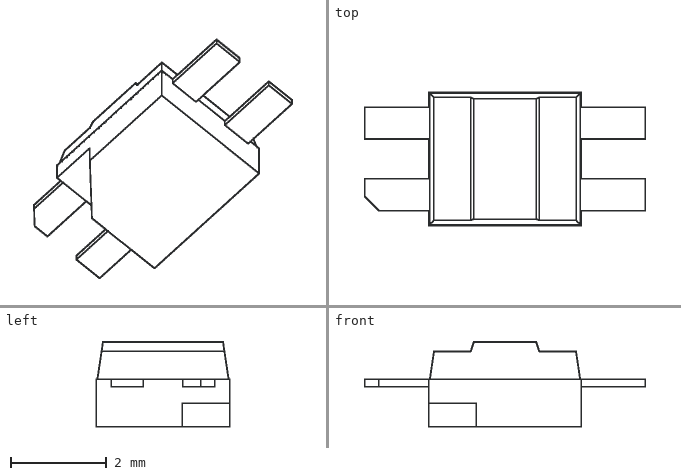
import cadquery as cq

BODY_LENGTH = 3.2
BODY_WIDTH = 2.8
BODY_HEIGHT = 1.0

NOTCH_LEG = 1.0
NOTCH_HEIGHT = 0.5

TOTAL_HEIGHT = 1.78
SHOULDER_HEIGHT = 1.58
CAP_INSET = 0.025
DRAFT_ANGLE = 8.5
RIDGE_TOP_LENGTH = 1.31
RIDGE_BASE_LENGTH = 1.44

LEAD_SPAN = 5.88
LEAD_WIDTH = 0.67
LEAD_THICKNESS = 0.16
LEAD_PITCH = 1.5
LEAD_CHAMFER = 0.3


def lower_body():
    """Block with a triangular notch under its -X, -Y corner."""
    block = cq.Workplane("XY").box(BODY_LENGTH, BODY_WIDTH, BODY_HEIGHT, centered=(True, True, False))
    corner_x = -BODY_LENGTH / 2
    corner_y = -BODY_WIDTH / 2
    notch = (
        cq.Workplane("XY")
        .moveTo(corner_x, corner_y)
        .lineTo(corner_x + NOTCH_LEG, corner_y)
        .lineTo(corner_x, corner_y + NOTCH_LEG)
        .close()
        .extrude(NOTCH_HEIGHT)
    )
    return block.cut(notch)


def upper_body():
    """Drafted cap, cut down to a shoulder on both sides of the sloped ridge."""
    cap_length = BODY_LENGTH - 2 * CAP_INSET
    cap_width = BODY_WIDTH - 2 * CAP_INSET
    cap = (
        cq.Workplane("XY", origin=(0, 0, BODY_HEIGHT))
        .rect(cap_length, cap_width)
        .extrude(TOTAL_HEIGHT - BODY_HEIGHT, taper=DRAFT_ANGLE)
    )
    profile = (
        cq.Workplane("XZ")
        .moveTo(-cap_length / 2, BODY_HEIGHT)
        .lineTo(cap_length / 2, BODY_HEIGHT)
        .lineTo(cap_length / 2, SHOULDER_HEIGHT)
        .lineTo(RIDGE_BASE_LENGTH / 2, SHOULDER_HEIGHT)
        .lineTo(RIDGE_TOP_LENGTH / 2, TOTAL_HEIGHT)
        .lineTo(-RIDGE_TOP_LENGTH / 2, TOTAL_HEIGHT)
        .lineTo(-RIDGE_BASE_LENGTH / 2, SHOULDER_HEIGHT)
        .lineTo(-cap_length / 2, SHOULDER_HEIGHT)
        .close()
        .extrude(BODY_WIDTH / 2, both=True)
    )
    return cap.intersect(profile)


def lead_strip(center_y):
    """Flat strip through the body, forming one lead on each side."""
    bottom_z = BODY_HEIGHT - LEAD_THICKNESS
    return (
        cq.Workplane("XY", origin=(0, center_y, bottom_z))
        .box(LEAD_SPAN, LEAD_WIDTH, LEAD_THICKNESS, centered=(True, True, False))
    )


rear_leads = lead_strip(LEAD_PITCH / 2)
front_leads = lead_strip(-LEAD_PITCH / 2).edges("|Z and <X and <Y").chamfer(LEAD_CHAMFER)

result = lower_body().union(upper_body()).union(rear_leads).union(front_leads)